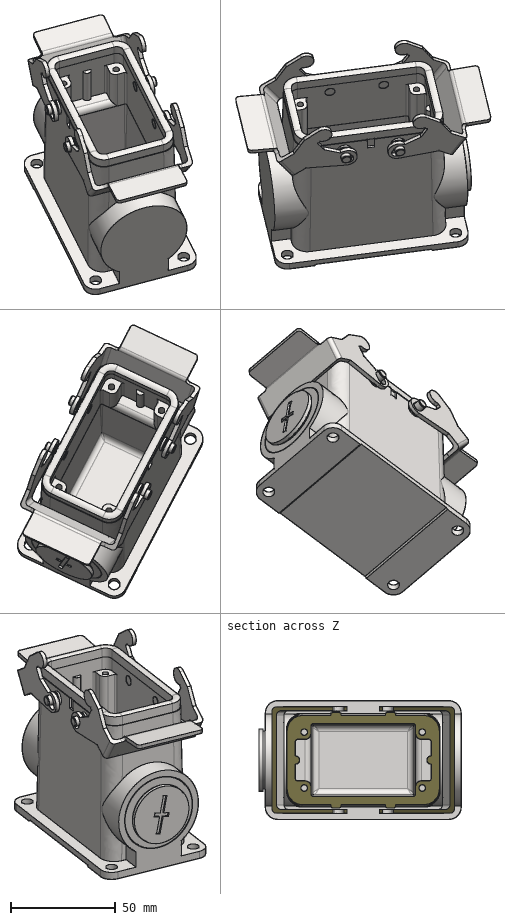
import cadquery as cq
import math

base_length = 94.0
base_width = 57.0
base_thickness = 3.8
base_corner_radius = 6.0
base_hole_diameter = 5.6
relief_half_length = 28.7
relief_depth = 0.8

body_foot_length = 75.0
body_foot_width = 44.9
body_top_length = 73.0
body_top_width = 42.8
body_corner_radius = 7.5
body_top = 75.6

gasket_setback = 0.3
gasket_thickness = 3.7
gasket_edge_height = 4.7
gasket_crown = 0.4
rim_length = body_top_length - 2 * gasket_setback
rim_width = body_top_width - 2 * gasket_setback
rim_corner_radius = body_corner_radius - gasket_setback

cavity_length = rim_length - 2 * gasket_thickness
cavity_width = rim_width - 2 * gasket_thickness
cavity_corner_radius = rim_corner_radius - gasket_thickness
ledge_height = 50.0
ledge_rounding = 3.0
pit_length = 50.0
pit_floor = base_thickness
pit_draft = 1.1
pit_floor_radius = 2.9
pit_corner_radius = 1.0

post_top = 69.0
post_size = (cavity_length - pit_length) / 2
post_rounding = 3.0
post_root_radius = 1.0
post_hole_diameter = 3.0
post_hole_depth = 10.0
post_hole_x = 28.3
post_hole_y = 13.4
rib_diameter = 4.0

boss_radius = 22.0
boss_height = 30.0
pedestal_width = 25.0
entry_diameter = 37.5
entry_depth = 2.0

notch_width = 3.5
notch_height = 5.4
notch_depth = 1.0

pin_x = 13.1
pin_z = 70.6
pin_diameter = 4.8
pin_tip_y = 27.9
pin_chamfer = 0.4
collar_diameter = 7.0
collar_y = 23.0
collar_chamfer = 0.45
pin_dimple = 0.2

plug_plate_diameter = 37.0
plug_neck_diameter = 25.5
plug_head_diameter = 30.0
plug_head_thickness = 2.0
plug_head_gap = 1.0
seal_diameter = 28.0
cross_long = 20.0
cross_short = 8.0
cross_bar_width = 2.0
cross_depth = 1.0
cross_tilt = 11.0

sheet = 2.0
lever_width = 51.2
lever_corner_radius = 2.0
hook_center = (-23.8, 87.27)
hook_radius = 4.0
lobe_center = (-12.5, 69.5)
lobe_radius = 5.0
lobe_start_angle = 128.0
lobe_end_angle = -93.0
hook_shoulder = (-33.3, 85.5)
hook_throat_length = 1.8
throat_corner = (-26.7, 82.1)
throat_foot = (-23.5, 77.2)
heel = (-32.4, 66.1)
lever_reach = 60.0
slot_width = 5.0
slot_end = (-11.8, 68.65)
web_foot = (-39.6, 61.5)
web_lean = 32.5
web_length = 12.5
web_top_depth = 9.5
bend_height = 14.2
handle_width = 36.0
handle_end_x = -59.205
handle_slope = 3.2
handle_corner = 1.9
neck_flare_radius = 1.8
bend_outer_radius = 2.3
bend_inner_radius = 0.3


def rounded_block(length, width, radius, bottom, height):
    """Upright block with rounded vertical edges, centred on the Z axis."""
    block = cq.Workplane("XY", origin=(0, 0, bottom)).rect(length, width).extrude(height)
    return block.edges("|Z").fillet(radius)


def rounded_sketch(length, width, radius):
    return cq.Sketch().rect(length, width).vertices().fillet(radius)


def cylinder_x(diameter, start_x, length):
    """Cylinder along +X on the cable entry axis."""
    return cq.Workplane("YZ", origin=(start_x, 0, boss_height)).circle(diameter / 2).extrude(length)


def base_plate():
    """Plate with four corner holes and a shallow relief across its underside."""
    plate = rounded_block(base_length, base_width, base_corner_radius, 0, base_thickness)
    hole_x = base_length - 2 * base_corner_radius
    hole_y = base_width - 2 * base_corner_radius
    holes = plate.faces(">Z").workplane().rect(hole_x, hole_y, forConstruction=True).vertices()
    plate = holes.hole(base_hole_diameter)
    relief = (
        cq.Workplane("XZ")
        .moveTo(-relief_half_length, 0)
        .lineTo(relief_half_length, 0)
        .lineTo(relief_half_length - relief_depth, relief_depth)
        .lineTo(relief_depth - relief_half_length, relief_depth)
        .close()
        .extrude(base_width / 2, both=True)
    )
    return plate.cut(relief)


def drafted_body():
    """Solid of the housing body, narrowing evenly towards its top."""
    foot = rounded_sketch(body_foot_length, body_foot_width, body_corner_radius)
    top = rounded_sketch(body_top_length, body_top_width, body_corner_radius)
    return cq.Workplane("XY").placeSketch(
        foot.moved(cq.Location(cq.Vector(0, 0, base_thickness))),
        top.moved(cq.Location(cq.Vector(0, 0, body_top))),
    ).loft(ruled=True)


def entry_bosses():
    """Round boss at each end, joined to the base plate by a flat-sided pedestal."""
    boss = cylinder_x(2 * boss_radius, -base_length / 2, base_length)
    pedestal = cq.Workplane("XY").box(base_length, pedestal_width, boss_height - base_thickness)
    return boss.union(pedestal.translate((0, 0, (boss_height + base_thickness) / 2)))


def cavity():
    """Upper chamber above the ledges and the narrower pit down to the floor."""
    depth = body_top - ledge_height
    chamber = rounded_block(cavity_length, cavity_width, cavity_corner_radius, ledge_height, depth)
    pit = (
        cq.Workplane("XY", origin=(0, 0, ledge_height))
        .placeSketch(rounded_sketch(pit_length, cavity_width, pit_corner_radius))
        .extrude(pit_floor - ledge_height, taper=pit_draft)
        .faces("<Z")
        .edges()
        .fillet(pit_floor_radius)
    )
    half_pit = pit_length / 2
    low = ledge_height - ledge_rounding
    bulge = ledge_rounding * (1 - math.sqrt(0.5))
    shoulder = (
        cq.Workplane("XZ")
        .moveTo(-half_pit, low)
        .threePointArc((-half_pit - bulge, ledge_height - bulge), (-half_pit - ledge_rounding, ledge_height))
        .lineTo(half_pit + ledge_rounding, ledge_height)
        .threePointArc((half_pit + bulge, ledge_height - bulge), (half_pit, low))
        .close()
        .extrude(cavity_width / 2, both=True)
    )
    return chamber.union(pit).union(shoulder)


def concave_corner(plane, toward_u, toward_v, radius, length):
    """Filler for an inside corner at the plane origin, hollowed to a round fillet."""
    filler = cq.Workplane(plane).center(toward_u * radius / 2, toward_v * radius / 2)
    filler = filler.rect(radius, radius).extrude(length)
    hollow = cq.Workplane(plane).center(toward_u * radius, toward_v * radius)
    return filler.cut(hollow.circle(radius).extrude(length))


def screw_post(side_x, side_y):
    """Corner post with a screw hole, rounded on its free edge and at both walls."""
    post_bottom = ledge_height - ledge_rounding
    height = post_top - post_bottom
    corner_x = side_x * (cavity_length - post_size) / 2
    corner_y = side_y * (cavity_width - post_size) / 2
    post = cq.Workplane("XY", origin=(corner_x, corner_y, post_bottom)).rect(post_size, post_size)
    post = post.extrude(height)
    inner_edge = cq.selectors.NearestToPointSelector((0, 0, post_bottom + height / 2))
    post = post.edges("|Z").edges(inner_edge).fillet(post_rounding)
    wall_corners = (
        (side_x * pit_length / 2, side_y * cavity_width / 2, -side_x, -side_y),
        (side_x * cavity_length / 2, side_y * (cavity_width / 2 - post_size), -side_x, -side_y),
    )
    for x, y, toward_x, toward_y in wall_corners:
        plane = cq.Plane((x, y, post_bottom))
        post = post.union(concave_corner(plane, toward_x, toward_y, post_root_radius, height))
    hole = cq.Workplane("XY", origin=(side_x * post_hole_x, side_y * post_hole_y, post_top))
    hole = hole.circle(post_hole_diameter / 2).extrude(-post_hole_depth)
    return post.cut(hole)


def lever_pin(side_x, side_y):
    """Collared pin standing outward from the long wall, and the dimple behind it."""
    wall_y = cavity_width / 2
    plane = cq.Workplane("XZ", origin=(side_x * pin_x, side_y * wall_y, pin_z))
    pin = plane.circle(pin_diameter / 2).extrude(-side_y * (pin_tip_y - wall_y))
    outer_face = ">Y" if side_y > 0 else "<Y"
    pin = pin.faces(outer_face).chamfer(pin_chamfer)
    collar = plane.circle(collar_diameter / 2).extrude(-side_y * (collar_y - wall_y))
    collar = collar.faces(outer_face).chamfer(collar_chamfer)
    dimple = plane.circle(pin_diameter / 2).extrude(-side_y * pin_dimple)
    return pin.union(collar), dimple


def make_housing():
    housing = base_plate().union(drafted_body()).union(entry_bosses()).cut(cavity())

    for side in (-1, 1):
        rib = cq.Workplane("XY", origin=(side * cavity_length / 2, 0, ledge_height))
        housing = housing.union(rib.circle(rib_diameter / 2).extrude(post_top - ledge_height))
        notch = cq.Workplane("XY").box(notch_width, 2 * notch_depth, notch_height)
        notch = notch.translate((0, side * body_top_width / 2, body_top - notch_height / 2))
        housing = housing.cut(notch)

    for side_x in (-1, 1):
        for side_y in (-1, 1):
            pin, dimple = lever_pin(side_x, side_y)
            housing = housing.union(screw_post(side_x, side_y)).union(pin).cut(dimple)

    return housing.cut(cylinder_x(entry_diameter, -base_length / 2, entry_depth))


def make_gasket():
    """Ring on the housing rim with a shallow arched top."""
    outer_y = -rim_width / 2
    inner_y = outer_y + gasket_thickness
    edge_z = body_top + gasket_edge_height
    section = (
        cq.Workplane("YZ")
        .moveTo(outer_y, body_top)
        .lineTo(outer_y, edge_z)
        .threePointArc((outer_y + gasket_thickness / 2, edge_z + gasket_crown), (inner_y, edge_z))
        .lineTo(inner_y, body_top)
        .close()
    )
    half_x = rim_length / 2
    half_y = rim_width / 2
    r = rim_corner_radius
    k = r * (1 - math.sqrt(0.5))
    path = (
        cq.Workplane("XY", origin=(0, 0, body_top))
        .moveTo(0, -half_y)
        .lineTo(half_x - r, -half_y)
        .threePointArc((half_x - k, k - half_y), (half_x, r - half_y))
        .lineTo(half_x, half_y - r)
        .threePointArc((half_x - k, half_y - k), (half_x - r, half_y))
        .lineTo(r - half_x, half_y)
        .threePointArc((k - half_x, half_y - k), (-half_x, half_y - r))
        .lineTo(-half_x, r - half_y)
        .threePointArc((k - half_x, k - half_y), (r - half_x, -half_y))
        .close()
    )
    return section.sweep(path)


def make_plug():
    """Stepped plug seated in the -X boss, with a cross recess in its head."""
    boss_face_x = -base_length / 2
    head_x = boss_face_x - plug_head_gap - plug_head_thickness
    plug = cylinder_x(plug_plate_diameter, boss_face_x, entry_depth)
    plug = plug.union(cylinder_x(plug_neck_diameter, boss_face_x - plug_head_gap, plug_head_gap))
    plug = plug.union(cylinder_x(plug_head_diameter, head_x, plug_head_thickness))
    cross = cq.Workplane("XY").box(2 * cross_depth, cross_bar_width, cross_long)
    cross = cross.union(cq.Workplane("XY").box(2 * cross_depth, cross_short, cross_bar_width))
    cross = cross.rotate((0, 0, 0), (1, 0, 0), cross_tilt).translate((head_x, 0, boss_height))
    return plug.cut(cross)


def make_plug_seal():
    """Ring around the plug neck, between the plug head and the boss face."""
    start_x = -base_length / 2 - plug_head_gap
    return cylinder_x(seal_diameter, start_x, plug_head_gap).cut(
        cylinder_x(plug_neck_diameter, start_x, plug_head_gap)
    )


def along_web(inward, upward):
    """Point in XZ measured from the foot of the lever web, across it and up it."""
    lean = math.radians(web_lean)
    x = web_foot[0] + inward * math.cos(lean) - upward * math.sin(lean)
    z = web_foot[1] + inward * math.sin(lean) + upward * math.cos(lean)
    return x, z


def on_circle(center, radius, angle):
    """Point in XZ on a circle, with the angle in degrees from +X."""
    return (
        center[0] + radius * math.cos(math.radians(angle)),
        center[1] + radius * math.sin(math.radians(angle)),
    )


def lever_blank():
    """Side outline of the lever, drawn out over its full width."""
    hook_x, hook_z = hook_center
    reach_x = hook_x - hook_shoulder[0]
    reach_z = hook_z - hook_shoulder[1]
    shoulder_slope = math.atan2(reach_z, reach_x) + math.asin(hook_radius / math.hypot(reach_x, reach_z))
    tangent_angle = math.degrees(shoulder_slope) + 90
    return (
        cq.Workplane("XZ")
        .moveTo(*along_web(0, 0))
        .lineTo(*along_web(0, web_length))
        .lineTo(*along_web(web_top_depth, web_length))
        .lineTo(*hook_shoulder)
        .lineTo(*on_circle(hook_center, hook_radius, tangent_angle))
        .threePointArc((hook_x + hook_radius, hook_z), (hook_x, hook_z - hook_radius))
        .lineTo(hook_x - hook_throat_length, hook_z - hook_radius)
        .lineTo(*throat_corner)
        .lineTo(*throat_foot)
        .lineTo(*on_circle(lobe_center, lobe_radius, lobe_start_angle))
        .threePointArc(
            on_circle(lobe_center, lobe_radius, 0), on_circle(lobe_center, lobe_radius, lobe_end_angle)
        )
        .lineTo(*heel)
        .close()
        .extrude(lever_width / 2, both=True)
    )


def lever_inner_space():
    """Room between the two side plates, behind the web."""
    lean = math.radians(web_lean)
    foot_x, foot_z = along_web(sheet, 0)
    plane = cq.Plane((foot_x, 0, foot_z), (math.cos(lean), 0, math.sin(lean)), (0, -1, 0))
    space = cq.Workplane(plane).rect(2 * lever_reach, 2 * lever_reach)
    space = space.extrude(lever_width / 2 - sheet, both=True)
    keep = cq.Workplane(plane).center(-lever_reach / 2, 0).rect(lever_reach, 2 * lever_reach)
    space = space.cut(keep.extrude(lever_width / 2, both=True))
    web_edges = cq.selectors.ParallelDirSelector(plane.yDir)
    return space.edges(web_edges).fillet(lever_corner_radius)


def lever_handle():
    """Grip bent outward from the top of the web."""
    turn = math.radians(90 - web_lean - handle_slope)
    under_bend = along_web(0, bend_height - sheet * math.tan(turn / 2))
    over_bend = along_web(sheet, bend_height)
    slope = math.radians(handle_slope)
    end_top = (handle_end_x, over_bend[1] + (over_bend[0] - handle_end_x) * math.tan(slope))
    end_bottom = (
        handle_end_x + sheet * math.sin(slope),
        end_top[1] - sheet * math.cos(slope),
    )
    handle = (
        cq.Workplane("XZ")
        .polyline([along_web(0, 0), under_bend, end_bottom, end_top, over_bend, along_web(sheet, 0)])
        .close()
        .extrude(handle_width / 2, both=True)
    )
    handle = handle.edges("|Y").edges(cq.selectors.NearestToPointSelector((over_bend[0], 0, over_bend[1])))
    handle = handle.fillet(bend_outer_radius)
    handle = handle.edges(cq.selectors.NearestToPointSelector((under_bend[0], 0, under_bend[1])))
    handle = handle.fillet(bend_inner_radius)
    return handle.faces("<X").edges("not |Y").fillet(handle_corner)


def neck_flare(side):
    """Rounded inside corner between the top of the web and one edge of the handle."""
    lean = math.radians(web_lean)
    x, z = along_web(0, web_length)
    up_web = (-math.sin(lean), 0, math.cos(lean))
    corner = (x, side * handle_width / 2, z)
    plane = cq.Plane(corner, up_web, (math.cos(lean), 0, math.sin(lean)))
    return concave_corner(plane, 1, -side, neck_flare_radius, sheet)


def make_lever():
    """Lever on the -X side: web, two hooked side plates, handle and pin slots."""
    lever = lever_blank()
    for side in (-1, 1):
        web_x, web_z = along_web(0, web_length / 2)
        outer_edge = cq.selectors.NearestToPointSelector((web_x, side * lever_width / 2, web_z))
        lever = lever.edges(outer_edge).fillet(lever_corner_radius)
    lever = lever.cut(lever_inner_space()).union(lever_handle())
    for side in (-1, 1):
        lever = lever.union(neck_flare(side))
    shift_x = slot_end[0] + pin_x
    shift_z = slot_end[1] - pin_z
    slot = (
        cq.Workplane("XZ")
        .center(slot_end[0] - shift_x / 2, slot_end[1] - shift_z / 2)
        .transformed(rotate=(0, 0, math.degrees(math.atan2(shift_z, shift_x))))
        .slot2D(math.hypot(shift_x, shift_z) + slot_width, slot_width)
        .extrude(lever_width, both=True)
    )
    return lever.cut(slot)


housing = make_housing()
gasket = make_gasket()
plug = make_plug()
plug_seal = make_plug_seal()
left_lever = make_lever()
right_lever = left_lever.mirror("YZ")
bodies = [housing, gasket, plug, plug_seal, left_lever, right_lever]
result = cq.Compound.makeCompound([body.solids().val() for body in bodies])